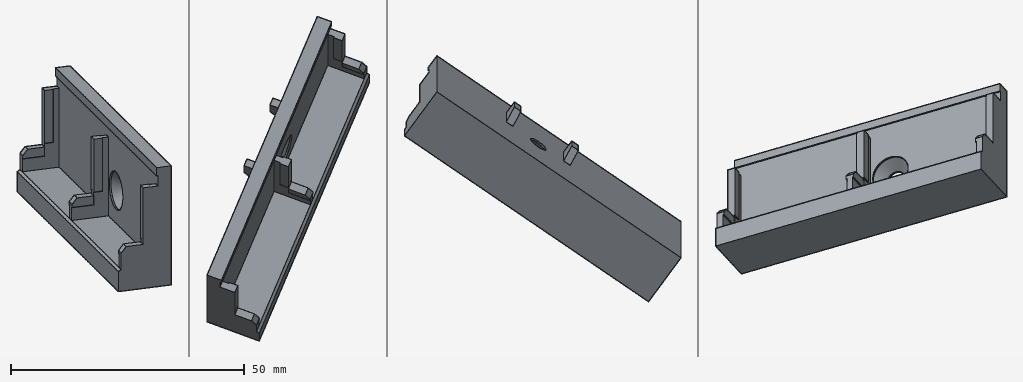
import cadquery as cq

length = 63.95
height = 27.25
base_depth = 12.0
plate_thickness = 3.0

lip_depth = 3.3
lip_height = 1.9

floor_z = 5.0
bevel_depth = 0.65
bevel_height = 0.4

middle_rib_thickness = 1.3
end_rib_thickness = 1.5
rib_top_z = 23.0
rib_depth = 6.4
foot_top_z = 10.1
foot_depth = base_depth - bevel_depth
foot_chamfer_depth = 1.15
foot_chamfer_height = 1.35

pad_raise = 0.25
upper_pad_back = 4.4
upper_pad_bottom_z = 10.9
foot_pad_bottom_z = 8.0

hole_x = 5.45
hole_z = 12.5
hole_diameter = 4.0
sink_diameter = 8.5
sink_rim_depth = 0.4
sink_cone_depth = (sink_diameter - hole_diameter) / 2

hook_spacing = 15.0
hook_width = 1.7
hook_reach = 3.0
hook_top_z = 19.7
hook_tip_height = 3.85


def prism(points, x_start, width):
    """Extrude a (Y, Z) outline along X."""
    return cq.Workplane("YZ", origin=(x_start, 0, 0)).polyline(points).close().extrude(width)


def make_body():
    outline = [
        (0, 0),
        (-base_depth, 0),
        (-base_depth, floor_z - bevel_height),
        (-foot_depth, floor_z),
        (-plate_thickness, floor_z),
        (-plate_thickness, height - lip_height),
        (-lip_depth, height - lip_height),
        (-lip_depth, height),
        (0, height),
    ]
    return prism(outline, -length / 2, length)


def make_rib(x_start, thickness, pad_start, pad_width):
    """Make a rib with its core and its wider pads given by X start and width."""
    core = [
        (0, 0),
        (-foot_depth, 0),
        (-foot_depth, foot_top_z - foot_chamfer_height),
        (-foot_depth + foot_chamfer_depth, foot_top_z),
        (-rib_depth, foot_top_z),
        (-rib_depth, rib_top_z),
        (0, rib_top_z),
    ]
    upper_pad = [
        (-rib_depth, upper_pad_bottom_z),
        (-rib_depth, rib_top_z),
        (-upper_pad_back, rib_top_z),
        (-upper_pad_back, upper_pad_bottom_z),
    ]
    foot_pad = [
        (-rib_depth, foot_pad_bottom_z),
        (-foot_depth, foot_pad_bottom_z),
        (-foot_depth, foot_top_z - foot_chamfer_height),
        (-foot_depth + foot_chamfer_depth, foot_top_z),
        (-rib_depth, foot_top_z),
    ]
    rib = prism(core, x_start, thickness)
    for pad in (upper_pad, foot_pad):
        rib = rib.union(prism(pad, pad_start, pad_width))
    return rib


def make_ribs():
    """Make the two end ribs, padded inwards, and the middle rib, padded on both sides."""
    end_pad_width = end_rib_thickness + pad_raise
    left = make_rib(-length / 2, end_rib_thickness, -length / 2, end_pad_width)
    right = left.mirror("YZ")
    middle_pad_width = middle_rib_thickness + 2 * pad_raise
    middle = make_rib(
        -middle_rib_thickness / 2, middle_rib_thickness, -middle_pad_width / 2, middle_pad_width
    )
    return left.union(middle).union(right)


def make_hook(x_center):
    """Make a hook with a flat top and a sloped underside."""
    tip_bottom_z = hook_top_z - hook_tip_height
    outline = [
        (0, hook_top_z),
        (hook_reach, hook_top_z),
        (hook_reach, tip_bottom_z),
        (0, tip_bottom_z - hook_reach),
    ]
    return prism(outline, x_center - hook_width / 2, hook_width)


def make_screw_hole():
    """Make the cutter: a short straight rim, a cone and a through hole."""
    rim_y = -plate_thickness + sink_rim_depth
    profile = [
        (0, -plate_thickness),
        (sink_diameter / 2, -plate_thickness),
        (sink_diameter / 2, rim_y),
        (hole_diameter / 2, rim_y + sink_cone_depth),
        (hole_diameter / 2, 0),
        (0, 0),
    ]
    cutter = cq.Workplane("XY").polyline(profile).close().revolve(360, (0, 0), (0, 1))
    return cutter.translate((hole_x, 0, hole_z))


result = make_body().cut(make_screw_hole()).union(make_ribs())
for side in (-1, 1):
    result = result.union(make_hook(hole_x + side * hook_spacing / 2))